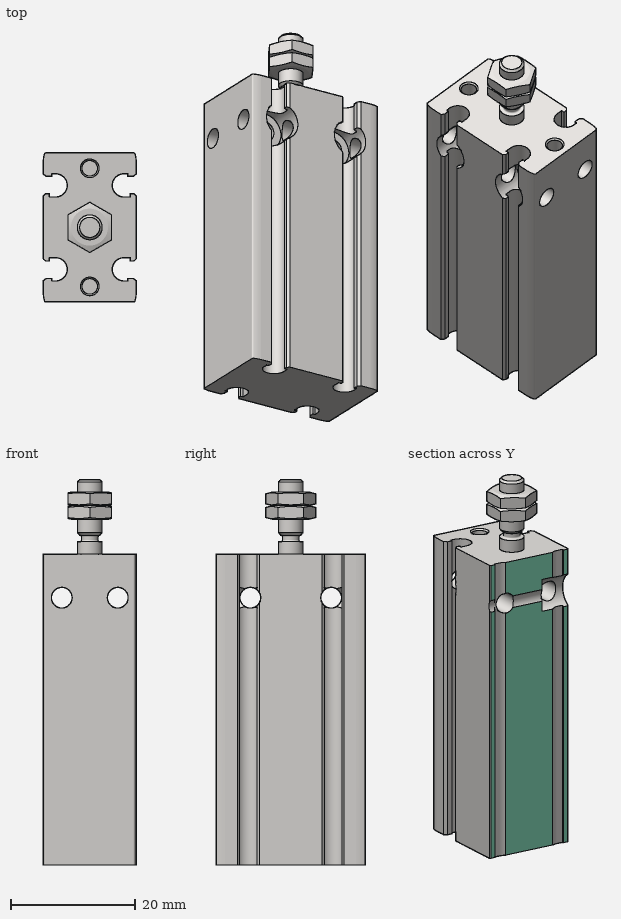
import cadquery as cq
import math

width = 15.0
depth = 24.0
height = 50.0
half_width = width / 2
half_depth = depth / 2

flank_length = 1.5
flank_inset = 0.27
flank_bow = 0.06
corner_radius = 0.27

groove_y = 6.75
groove_radius = 1.85
groove_depth = 3.87
mouth_outer_y = 8.2
mouth_inner_y = 5.42
outer_lip = 1.4
inner_lip = 1.0
lip_bevel_height = 0.38
outer_bevel_depth = 0.5
inner_bevel_depth = 0.4

cross_hole_z = height - 7.0
cross_hole_dia = 3.3
x_hole_y = 6.5
y_hole_x = 4.5
counterbore_dia = 6.0
counterbore_depth = 5.0

mount_hole_y = 9.5
mount_hole_dia = 2.5
mount_mouth_dia = 3.0
mount_hole_depth = 5.0

rod_dia = 4.0
rod_top = height + 12.0
rod_tip_dia = 3.24
shoulder_top = height + 2.0
thread_bottom = height + 3.48
neck_dia = 2.67
neck_fillet = 0.28
neck_flare_dia = neck_dia + 2 * neck_fillet
neck_top = height + 3.03

nut_count = 2
nut_flats = 7.0
nut_thickness = 2.2
nut_face_dia = 5.95
nut_chamfer_angle = 15.0
nut_bottom = height + 5.6


def groove_cutter():
    """One groove on the -X, +Y side, as a bar over the full height."""
    side = -half_width
    bottom = side + groove_depth
    arc_start = bottom - groove_radius
    outer_wall = groove_y + groove_radius
    inner_wall = groove_y - groove_radius
    return (
        cq.Workplane("XY")
        .moveTo(side, mouth_outer_y + lip_bevel_height)
        .lineTo(side + outer_bevel_depth, mouth_outer_y)
        .lineTo(side + outer_lip, mouth_outer_y)
        .lineTo(side + outer_lip, outer_wall)
        .lineTo(arc_start, outer_wall)
        .threePointArc((bottom, groove_y), (arc_start, inner_wall))
        .lineTo(side + inner_lip, inner_wall)
        .lineTo(side + inner_lip, mouth_inner_y)
        .lineTo(side + inner_bevel_depth, mouth_inner_y)
        .lineTo(side, mouth_inner_y - lip_bevel_height)
        .close()
        .extrude(height)
    )


def housing_blank():
    """The block with its bowed flanks and rounded long edges."""
    end_x = half_width - flank_inset
    flank_y = half_depth - flank_length
    bow_x = half_width - flank_inset / 2 + flank_bow
    bow_y = half_depth - flank_length / 2
    return (
        cq.Workplane("XY")
        .moveTo(-end_x, half_depth)
        .lineTo(end_x, half_depth)
        .threePointArc((bow_x, bow_y), (half_width, flank_y))
        .lineTo(half_width, -flank_y)
        .threePointArc((bow_x, -bow_y), (end_x, -half_depth))
        .lineTo(-end_x, -half_depth)
        .threePointArc((-bow_x, -bow_y), (-half_width, -flank_y))
        .lineTo(-half_width, flank_y)
        .threePointArc((-bow_x, bow_y), (-end_x, half_depth))
        .close()
        .extrude(height)
        .edges("|Z and (>Y or <Y)")
        .fillet(corner_radius)
    )


def counterbored_hole(y):
    """A hole along X with its counterbore on the -X side."""
    side = cq.Workplane("YZ", origin=(-half_width, y, cross_hole_z))
    hole = side.circle(cross_hole_dia / 2).extrude(width)
    counterbore = side.circle(counterbore_dia / 2).extrude(counterbore_depth)
    return hole.union(counterbore)


def front_hole(x):
    """A plain hole along Y."""
    front = cq.Workplane("XZ", origin=(x, half_depth, cross_hole_z))
    return front.circle(cross_hole_dia / 2).extrude(depth)


def mount_hole(y):
    """A blind hole in the top face with a chamfered mouth."""
    radius = mount_hole_dia / 2
    mouth_radius = mount_mouth_dia / 2
    return (
        cq.Workplane("XZ", origin=(0, y, height))
        .moveTo(0, 0)
        .lineTo(mouth_radius, 0)
        .lineTo(radius, radius - mouth_radius)
        .lineTo(radius, -mount_hole_depth)
        .lineTo(0, -mount_hole_depth)
        .close()
        .revolve(360, (0, 0, 0), (0, 1, 0))
    )


def make_housing():
    housing = housing_blank()
    groove = groove_cutter()
    opposite_groove = groove.mirror("YZ")
    for cutter in (groove, opposite_groove):
        housing = housing.cut(cutter).cut(cutter.mirror("XZ"))
    for sign in (-1, 1):
        housing = housing.cut(counterbored_hole(sign * x_hole_y))
        housing = housing.cut(front_hole(sign * y_hole_x))
        housing = housing.cut(mount_hole(sign * mount_hole_y))
    return housing


def make_rod():
    """The rod: a shoulder, a filleted neck and a thread with tapered ends."""
    rod_radius = rod_dia / 2
    tip_radius = rod_tip_dia / 2
    neck_radius = neck_dia / 2
    flare_radius = neck_flare_dia / 2
    mid_arc = neck_fillet * (1 - math.sqrt(0.5))
    return (
        cq.Workplane("XZ")
        .moveTo(0, height)
        .lineTo(rod_radius, height)
        .lineTo(rod_radius, shoulder_top)
        .lineTo(flare_radius, shoulder_top)
        .threePointArc(
            (neck_radius + mid_arc, shoulder_top + mid_arc),
            (neck_radius, shoulder_top + neck_fillet),
        )
        .lineTo(neck_radius, neck_top - neck_fillet)
        .threePointArc((neck_radius + mid_arc, neck_top - mid_arc), (flare_radius, neck_top))
        .lineTo(rod_radius, thread_bottom)
        .lineTo(rod_radius, rod_top - (rod_radius - tip_radius))
        .lineTo(tip_radius, rod_top)
        .lineTo(0, rod_top)
        .close()
        .revolve(360, (0, 0, 0), (0, 1, 0))
    )


def make_nut(bottom):
    """A hexagon nut with flats facing X and conical chamfers on both faces."""
    corner_dia = nut_flats / math.cos(math.pi / 6)
    nut_corner_radius = corner_dia / 2
    face_radius = nut_face_dia / 2
    corner_drop = (nut_corner_radius - face_radius) * math.tan(math.radians(nut_chamfer_angle))
    hexagon = (
        cq.Workplane("XY", origin=(0, 0, bottom))
        .transformed(rotate=(0, 0, 90))
        .polygon(6, corner_dia)
        .extrude(nut_thickness)
    )
    envelope = (
        cq.Workplane("XZ", origin=(0, 0, bottom))
        .moveTo(rod_dia / 2, 0)
        .lineTo(face_radius, 0)
        .lineTo(nut_corner_radius, corner_drop)
        .lineTo(nut_corner_radius, nut_thickness - corner_drop)
        .lineTo(face_radius, nut_thickness)
        .lineTo(rod_dia / 2, nut_thickness)
        .close()
        .revolve(360, (0, 0, 0), (0, 1, 0))
    )
    return hexagon.intersect(envelope)


housing = make_housing()
rod = make_rod()
nuts = [make_nut(nut_bottom + index * nut_thickness).val() for index in range(nut_count)]

result = cq.Compound.makeCompound([housing.val(), rod.val(), *nuts])